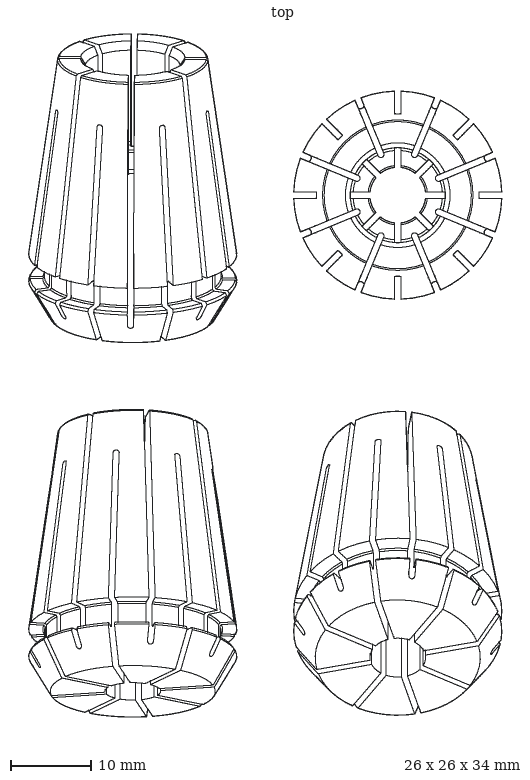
import cadquery as cq
import math

height = 34.0
max_radius = 13.0
taper_angle = 8.0
taper_bottom = 8.13
top_edge_chamfer = 0.2

neck_radius = 11.0
neck_corner_chamfer = 0.2
collar_top = 4.93
collar_chamfer_width = 0.2
collar_chamfer_height = 0.35
collar_angle = 30.0
bottom_edge_chamfer = 0.1

bore_radius = 3.47
bore_edge_chamfer = 0.25
relief_radius = 5.9
relief_floor = 20.57
relief_floor_chamfer = 0.35
relief_mouth_radius = 6.53
relief_mouth_depth = 1.02

slot_count = 8
slot_width = 0.78
lower_slot_top = 28.42
upper_slot_exit_radius = 11.83
upper_slot_exit_height = 2.1
upper_slot_angle = 20.0


def make_blank():
    """Revolve the body with its stepped bore."""
    taper = math.tan(math.radians(taper_angle))
    collar_slope = math.tan(math.radians(collar_angle))
    chamfer_start = height - top_edge_chamfer
    taper_top_radius = max_radius - (chamfer_start - taper_bottom) * taper
    collar_rim = collar_top - collar_chamfer_height
    collar_base_radius = max_radius - (collar_rim - bottom_edge_chamfer) * collar_slope
    neck_corner_radius = neck_radius + neck_corner_chamfer

    profile = [
        (bore_radius, 0),
        (collar_base_radius - bottom_edge_chamfer, 0),
        (collar_base_radius, bottom_edge_chamfer),
        (max_radius, collar_rim),
        (max_radius - collar_chamfer_width, collar_top),
        (neck_corner_radius, collar_top),
        (neck_radius, collar_top + neck_corner_chamfer),
        (neck_radius, taper_bottom - neck_corner_chamfer),
        (neck_corner_radius, taper_bottom),
        (max_radius, taper_bottom),
        (taper_top_radius, chamfer_start),
        (taper_top_radius - top_edge_chamfer, height),
        (relief_mouth_radius, height),
        (relief_radius, height - relief_mouth_depth),
        (relief_radius, relief_floor + relief_floor_chamfer),
        (relief_radius - relief_floor_chamfer, relief_floor),
        (bore_radius + bore_edge_chamfer, relief_floor),
        (bore_radius, relief_floor - bore_edge_chamfer),
    ]
    return cq.Workplane("XZ").polyline(profile).close().revolve(360, (0, 0), (0, 1))


def make_lower_slot():
    """Radial slot along +X, open at the bottom, with a half-round top."""
    straight_top = lower_slot_top - slot_width / 2
    return (
        cq.Workplane("YZ")
        .moveTo(-slot_width / 2, 0)
        .lineTo(-slot_width / 2, straight_top)
        .threePointArc((0, lower_slot_top), (slot_width / 2, straight_top))
        .lineTo(slot_width / 2, 0)
        .close()
        .extrude(max_radius)
    )


def make_upper_slot():
    """Radial slot along +X, open at the top, with a tilted half-round floor."""
    tilt = math.radians(upper_slot_angle)
    reach = 2 * height
    overrun = height / 2
    floor_direction = cq.Vector(-math.sin(tilt), 0, math.cos(tilt))
    outward = cq.Vector(math.cos(tilt), 0, math.sin(tilt))
    floor_start = (
        cq.Vector(upper_slot_exit_radius, 0, upper_slot_exit_height)
        - floor_direction * overrun
    )
    plane = cq.Plane(origin=floor_start, xDir=outward, normal=floor_direction)
    half_width = slot_width / 2
    return (
        cq.Workplane(plane)
        .moveTo(reach, -half_width)
        .lineTo(half_width, -half_width)
        .threePointArc((0, 0), (half_width, half_width))
        .lineTo(reach, half_width)
        .close()
        .extrude(reach)
    )


def cut_around(body, cutter, first_angle):
    """Cut evenly spaced copies of the cutter around the axis."""
    for i in range(slot_count):
        angle = first_angle + i * 360 / slot_count
        body = body.cut(cutter.rotate((0, 0, 0), (0, 0, 1), angle))
    return body


result = make_blank()
result = cut_around(result, make_lower_slot(), 0)
result = cut_around(result, make_upper_slot(), 180 / slot_count)